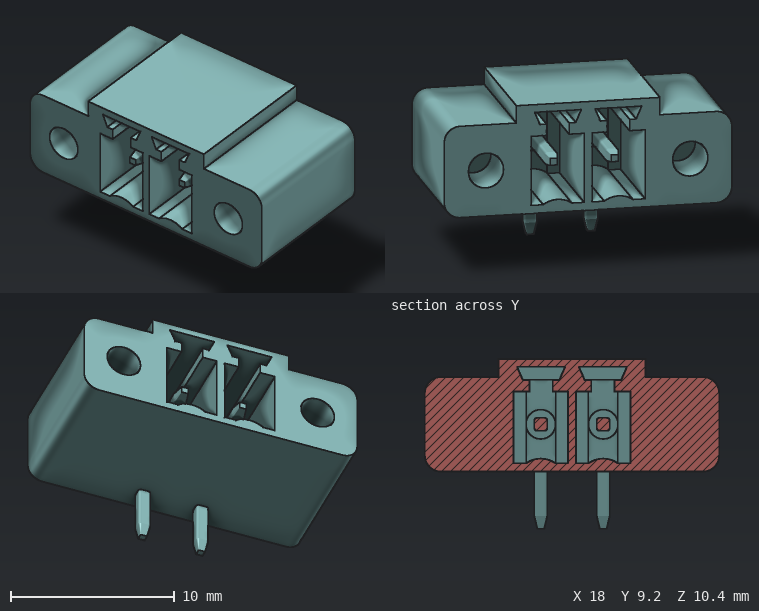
import cadquery as cq
import math


width = 18.01
depth = 9.2
total_height = 10.4
pin_drop = 3.5
housing_height = total_height - pin_drop
flange_height = 5.8
flange_radius = 0.99
centre_width = 8.99

hole_diameter = 2.2
hole_offset = 6.4
hole_depth = 3.6

axis_height = flange_height / 2

pitch = 3.82
socket_x = (-pitch / 2, pitch / 2)
socket_width = 3.31
socket_floor = 0.52
socket_roof = 4.9
socket_depth = 7.0
channel_width = 1.8
channel_depth = 7.2
ridge_height = 0.29

neck_width = 1.4
dovetail_floor = 5.62
dovetail_roof = 6.41
dovetail_floor_width = 2.23
dovetail_roof_width = 2.92
dovetail_shift = 0.02

pin_size = 0.81
pin_radius = 0.2
pin_taper_length = 0.8
pin_tip_size = 0.43
pin_taper_inset = (pin_size - pin_tip_size) / 2
pin_tip_y = 1.12
pin_leg_inset = 1.2
pin_leg_y = depth - pin_leg_inset
collar_diameter = channel_width
collar_length = 0.09


def front_profile(setback):
    """Sketch plane parallel to the mating face; negative extrusion goes into the housing."""
    return cq.Workplane("XZ", origin=(0, setback, 0))


def make_housing():
    flange_body = (
        cq.Workplane("XY")
        .box(width, depth, flange_height, centered=(True, False, False))
        .edges("|Y")
        .fillet(flange_radius)
    )
    centre_body = cq.Workplane("XY").box(centre_width, depth, housing_height, centered=(True, False, False))
    return flange_body.union(centre_body)


def make_fixing_holes():
    centres = [(-hole_offset, axis_height), (hole_offset, axis_height)]
    return front_profile(0).pushPoints(centres).circle(hole_diameter / 2).extrude(-hole_depth)


def make_socket(x):
    """Rectangular opening with a deeper central channel that runs up into the coding slot."""
    opening = (
        cq.Workplane("XY", origin=(x, 0, socket_floor))
        .box(socket_width, socket_depth, socket_roof - socket_floor, centered=(True, False, False))
    )
    channel = (
        cq.Workplane("XY", origin=(x, 0, socket_floor))
        .box(channel_width, channel_depth, socket_roof - socket_floor, centered=(True, False, False))
    )
    slot_x = x - math.copysign(dovetail_shift, x)
    neck = (
        cq.Workplane("XY", origin=(slot_x, 0, socket_roof))
        .box(neck_width, channel_depth, dovetail_floor - socket_roof, centered=(True, False, False))
    )
    dovetail = (
        front_profile(0)
        .moveTo(slot_x - dovetail_floor_width / 2, dovetail_floor)
        .lineTo(slot_x + dovetail_floor_width / 2, dovetail_floor)
        .lineTo(slot_x + dovetail_roof_width / 2, dovetail_roof)
        .lineTo(slot_x - dovetail_roof_width / 2, dovetail_roof)
        .close()
        .extrude(-socket_depth)
    )
    return opening.union(channel).union(neck).union(dovetail).cut(make_floor_ridge(x))


def make_floor_ridge(x):
    """Shallow arched ridge along the socket floor."""
    half_width = channel_width / 2
    return (
        front_profile(0)
        .moveTo(x + half_width, socket_floor)
        .threePointArc((x, socket_floor + ridge_height), (x - half_width, socket_floor))
        .close()
        .extrude(-channel_depth)
    )


def make_pin_leg(length):
    """Rounded square bar rising from its pointed tip at the origin along +Z."""
    bar_length = length - pin_taper_length
    bar = (
        cq.Workplane("XY", origin=(0, 0, pin_taper_length))
        .rect(pin_size, pin_size)
        .extrude(bar_length)
        .edges("|Z")
        .fillet(pin_radius)
    )
    taper_angle = math.degrees(math.atan2(pin_taper_inset, pin_taper_length))
    return bar.faces("<Z").wires().toPending().workplane().extrude(pin_taper_length, taper=taper_angle)


def make_pin(x):
    """Contact pin bent at a right angle, with a collar where it enters the socket."""
    solder_leg = make_pin_leg(pin_drop + axis_height).translate((x, pin_leg_y, -pin_drop))
    contact_leg = (
        make_pin_leg(pin_leg_y - pin_tip_y)
        .rotate((0, 0, 0), (1, 0, 0), -90)
        .translate((x, pin_tip_y, axis_height))
    )
    collar = (
        front_profile(channel_depth - collar_length)
        .center(x, axis_height)
        .circle(collar_diameter / 2)
        .extrude(-collar_length)
    )
    return solder_leg.union(contact_leg).union(collar)


result = make_housing().cut(make_fixing_holes())
for x in socket_x:
    result = result.cut(make_socket(x)).union(make_pin(x))